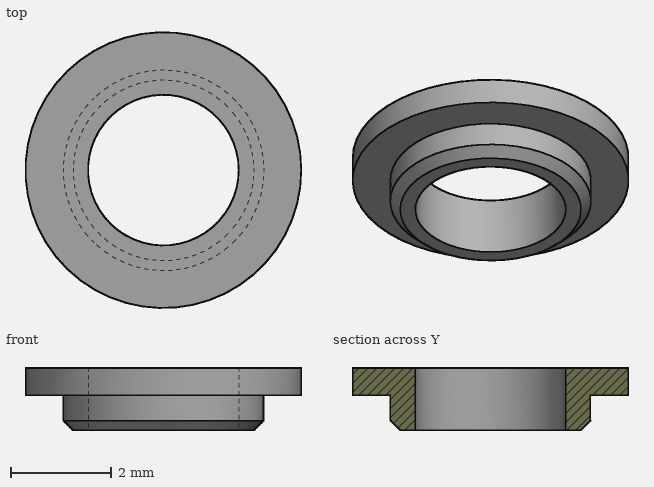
import cadquery as cq

flange_diameter = 5.5
sleeve_diameter = 4.0
bore_diameter = 3.0
total_height = 1.25
flange_thickness = 0.55
chamfer_size = 0.2

sleeve_height = total_height - flange_thickness

sleeve = (
    cq.Workplane("XY")
    .circle(sleeve_diameter / 2)
    .extrude(sleeve_height)
    .faces("<Z")
    .edges()
    .chamfer(chamfer_size)
)

flange = (
    cq.Workplane("XY")
    .workplane(offset=sleeve_height)
    .circle(flange_diameter / 2)
    .extrude(flange_thickness)
)

bore = cq.Workplane("XY").circle(bore_diameter / 2).extrude(total_height)

result = sleeve.union(flange).cut(bore)